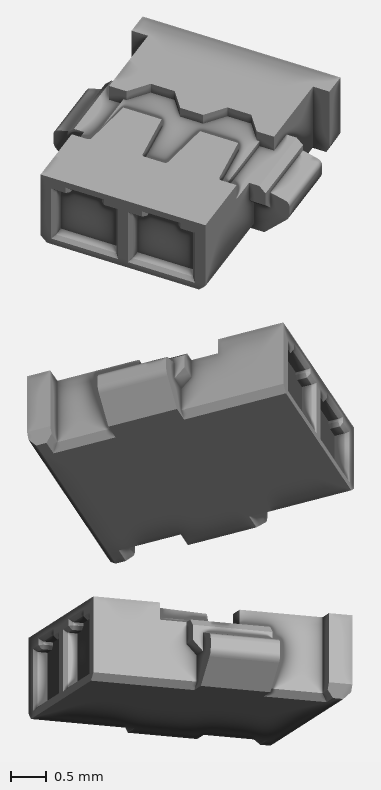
import cadquery as cq
import math

LENGTH = 3.8
HEIGHT = 1.2
BODY_WIDTH = 2.585
BASE_CHAMFER = 0.1
PITCH = 1.2
POSITIONS = (-PITCH / 2, PITCH / 2)
SIDES = (-1, 1)

FLANGE_WIDTH = 3.1
FLANGE_THICKNESS = 0.355
FLANGE_SIDE_BEVEL_HEIGHT = 0.198

SHOULDER_FRONT = 1.4
SHOULDER_BACK = 2.6
SHOULDER_TOP = 0.95
SHOULDER_BOTTOM = 0.635
SHOULDER_CHAMFER = 0.1

WING_WIDTH = 3.7
WING_FRONT = 1.555
WING_ROOT_TOP = 0.752
WING_TOP_SLOPE = 15.0
WING_BASE_WIDTH = 2.91
WING_TOP_RADIUS = 0.1
WING_BOTTOM_RADIUS = 0.165

RECESS_FRONT = 1.0
RECESS_BACK = 2.2
RECESS_DEPTH = 0.16
RECESS_CORNER_RADIUS = 0.05
LEDGE_INNER_WIDTH = 2.13
NOTCH_BACK = 2.5
NOTCH_MOUTH_WIDTH = 0.84
NOTCH_END_WIDTH = 0.372

TONGUE_ROOT_WIDTH = 0.815
TONGUE_TIP_WIDTH = 0.593
TONGUE_TIP_TOP = 1.855
TONGUE_TIP_BOTTOM = 1.885

SOCKET_WIDTH = 1.05
SOCKET_BOTTOM = 0.1
SOCKET_TOP = 1.005
KEY_WIDTH = 0.6
KEY_TOP = 1.102
SOCKET_DEPTH = 0.2
SOCKET_BEVEL = 0.055


def block(width, front, back, bottom, top):
    """Box centred on X = 0 between the given Y and Z limits."""
    size = (width, back - front, top - bottom)
    return cq.Workplane("XY", origin=(0, front, bottom)).box(*size, centered=(True, False, False))


def front_section(front, back, points):
    """Prism along Y from an (X, Z) outline."""
    return cq.Workplane("XZ", origin=(0, front, 0)).polyline(points).close().extrude(front - back)


def make_body():
    body = block(BODY_WIDTH, 0, LENGTH, 0, HEIGHT)
    return body.faces("<Z").edges("|Y or >Y").chamfer(BASE_CHAMFER)


def make_flange():
    half = FLANGE_WIDTH / 2
    front = LENGTH - FLANGE_THICKNESS
    bevelled = front_section(
        front,
        LENGTH,
        [
            (-half + BASE_CHAMFER, 0),
            (half - BASE_CHAMFER, 0),
            (half, FLANGE_SIDE_BEVEL_HEIGHT),
            (half, HEIGHT),
            (-half, HEIGHT),
            (-half, FLANGE_SIDE_BEVEL_HEIGHT),
        ],
    )
    side_outline = (
        cq.Workplane("YZ")
        .polyline(
            [
                (front + BASE_CHAMFER, 0),
                (LENGTH - BASE_CHAMFER, 0),
                (LENGTH, BASE_CHAMFER),
                (LENGTH, HEIGHT),
                (front, HEIGHT),
                (front, BASE_CHAMFER),
            ]
        )
        .close()
        .extrude(half, both=True)
    )
    return bevelled.intersect(side_outline)


def make_shoulders():
    half = FLANGE_WIDTH / 2
    slope_run = WING_FRONT - SHOULDER_FRONT
    outline = [
        (SHOULDER_FRONT, SHOULDER_TOP),
        (SHOULDER_FRONT, SHOULDER_BOTTOM),
        (WING_FRONT, SHOULDER_BOTTOM - slope_run),
        (SHOULDER_BACK, SHOULDER_BOTTOM - slope_run),
        (SHOULDER_BACK, SHOULDER_TOP),
    ]
    shoulders = cq.Workplane("YZ").polyline(outline).close().extrude(half, both=True)
    return shoulders.faces(">Z").edges("|Y").chamfer(SHOULDER_CHAMFER)


def make_wings():
    root = FLANGE_WIDTH / 2
    tip = WING_WIDTH / 2
    base = WING_BASE_WIDTH / 2
    tip_top = WING_ROOT_TOP - (tip - root) * math.tan(math.radians(WING_TOP_SLOPE))
    tip_bottom = tip - base
    right_edge = [(base, 0), (tip, tip_bottom), (tip, tip_top), (root, WING_ROOT_TOP)]
    left_edge = [(-x, z) for x, z in reversed(right_edge)]
    wings = front_section(WING_FRONT, SHOULDER_BACK, right_edge + left_edge)
    middle = (WING_FRONT + SHOULDER_BACK) / 2
    for side in SIDES:
        for height, radius in ((tip_top, WING_TOP_RADIUS), (tip_bottom, WING_BOTTOM_RADIUS)):
            corner = (side * tip, middle, height)
            wings = wings.edges(cq.NearestToPointSelector(corner)).fillet(radius)
    return wings


def make_tongue(center):
    """Tapered tongue whose tip reaches further back at the recess floor."""
    floor = HEIGHT - RECESS_DEPTH
    root = TONGUE_ROOT_WIDTH / 2
    tip = TONGUE_TIP_WIDTH / 2
    tongue = (
        cq.Workplane("XY", origin=(center, 0, floor))
        .polyline(
            [
                (-root, RECESS_FRONT),
                (root, RECESS_FRONT),
                (tip, TONGUE_TIP_BOTTOM),
                (-tip, TONGUE_TIP_BOTTOM),
            ]
        )
        .close()
        .extrude(RECESS_DEPTH)
    )
    tip_relief = (
        cq.Workplane("YZ", origin=(center, 0, 0))
        .polyline([(TONGUE_TIP_BOTTOM, floor), (TONGUE_TIP_BOTTOM, HEIGHT), (TONGUE_TIP_TOP, HEIGHT)])
        .close()
        .extrude(root, both=True)
    )
    return tongue.cut(tip_relief)


def make_notch(center):
    mouth = NOTCH_MOUTH_WIDTH / 2
    end = NOTCH_END_WIDTH / 2
    return (
        cq.Workplane("XY", origin=(center, 0, HEIGHT - RECESS_DEPTH))
        .polyline([(-mouth, RECESS_BACK), (mouth, RECESS_BACK), (end, NOTCH_BACK), (-end, NOTCH_BACK)])
        .close()
        .extrude(RECESS_DEPTH)
    )


def make_recess():
    floor = HEIGHT - RECESS_DEPTH
    recess = block(BODY_WIDTH, RECESS_FRONT, RECESS_BACK, floor, HEIGHT)
    for center in POSITIONS:
        recess = recess.cut(make_tongue(center)).union(make_notch(center))
        for side in SIDES:
            corner = (center + side * TONGUE_ROOT_WIDTH / 2, RECESS_FRONT, floor + RECESS_DEPTH / 2)
            recess = recess.edges(cq.NearestToPointSelector(corner)).fillet(RECESS_CORNER_RADIUS)
    ledges = block(BODY_WIDTH, RECESS_FRONT, RECESS_BACK, SHOULDER_TOP, floor)
    ledges = ledges.cut(block(LEDGE_INNER_WIDTH, RECESS_FRONT, RECESS_BACK, SHOULDER_TOP, floor))
    return recess.union(ledges)


def flared_pocket(center, mouth, throat):
    """Pocket into the front face that narrows from the mouth to the throat, then runs straight."""
    flare = (
        cq.Workplane("XZ", origin=(center, 0, 0))
        .polyline(mouth)
        .close()
        .workplane(offset=-SOCKET_BEVEL)
        .polyline(throat)
        .close()
        .loft(ruled=True)
    )
    bore = front_section(SOCKET_BEVEL, SOCKET_DEPTH, throat).translate((center, 0, 0))
    return flare.union(bore)


def trapezoid(bottom_half, bottom, top_half, top):
    """Symmetric (X, Z) outline with level top and bottom sides."""
    return [(-bottom_half, bottom), (bottom_half, bottom), (top_half, top), (-top_half, top)]


def make_socket(center):
    half = SOCKET_WIDTH / 2
    key = KEY_WIDTH / 2
    throat_half = half - SOCKET_BEVEL
    throat_key = key - SOCKET_BEVEL
    throat_bottom = SOCKET_BOTTOM + SOCKET_BEVEL
    throat_top = SOCKET_TOP - SOCKET_BEVEL
    main = flared_pocket(
        center,
        trapezoid(half, SOCKET_BOTTOM, half, SOCKET_TOP),
        trapezoid(throat_half, throat_bottom, throat_half, throat_top),
    )
    keyway = flared_pocket(
        center,
        trapezoid(key, throat_top, key, KEY_TOP),
        trapezoid(throat_key, throat_top, throat_key, KEY_TOP - SOCKET_BEVEL),
    )
    corner_facets = flared_pocket(
        center,
        trapezoid(key + SOCKET_BEVEL, throat_top, key, SOCKET_TOP),
        trapezoid(key, throat_top, throat_key, SOCKET_TOP),
    )
    return main.union(keyway).union(corner_facets)


result = make_body().union(make_flange()).union(make_shoulders()).union(make_wings())
result = result.cut(make_recess())
for position in POSITIONS:
    result = result.cut(make_socket(position))